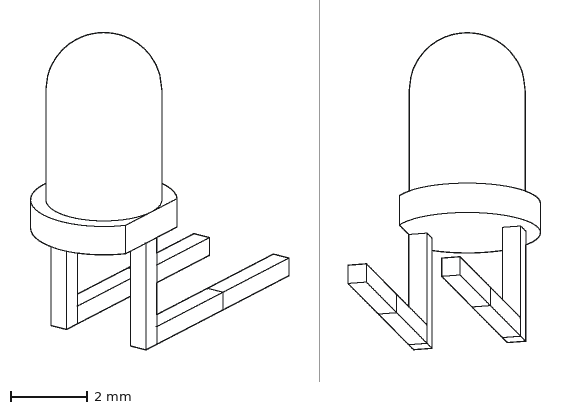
import cadquery as cq

lens_diameter = 3.04
lens_radius = lens_diameter / 2
flange_radius = 1.92
flange_height = 0.8
flange_bottom = 3.0
lens_top = 8.38
dome_radius = 1.5

lead_pitch = 2.54
lead_width = 0.5
lead_segment_length = 3.0


def make_lens():
    """Flange and domed lens as one solid, centred on the Z axis."""
    flange = cq.Workplane("XY").workplane(offset=flange_bottom).circle(flange_radius).extrude(flange_height)
    flat_cutter = (
        cq.Workplane("XY")
        .workplane(offset=flange_bottom)
        .center(lens_radius + flange_radius / 2, 0)
        .rect(flange_radius, 2 * flange_radius)
        .extrude(flange_height)
    )
    domed_cylinder = (
        cq.Workplane("XY")
        .workplane(offset=flange_bottom)
        .circle(lens_radius)
        .extrude(lens_top - flange_bottom)
        .faces(">Z")
        .edges()
        .fillet(dome_radius)
    )
    return flange.cut(flat_cutter).union(domed_cylinder).solids()


def make_lead_post(x):
    """Upright lead segment, from the bend up to the underside of the flange."""
    return cq.Workplane("XY").center(x, 0).rect(lead_width, lead_width).extrude(flange_bottom)


def make_lead_foot(x, y_start):
    """Horizontal lead segment, starting at y_start and running towards +Y."""
    return (
        cq.Workplane("XY")
        .box(lead_width, lead_segment_length, lead_width, centered=(True, False, False))
        .translate((x, y_start, 0))
    )


lens = make_lens()
bodies = [lens.val()]

post_back = lead_width / 2
for lead_x in (-lead_pitch / 2, lead_pitch / 2):
    post = make_lead_post(lead_x)
    inner_foot = make_lead_foot(lead_x, post_back)
    outer_foot = make_lead_foot(lead_x, post_back + lead_segment_length)
    bodies += [post.val(), inner_foot.val(), outer_foot.val()]

result = cq.Compound.makeCompound(bodies)